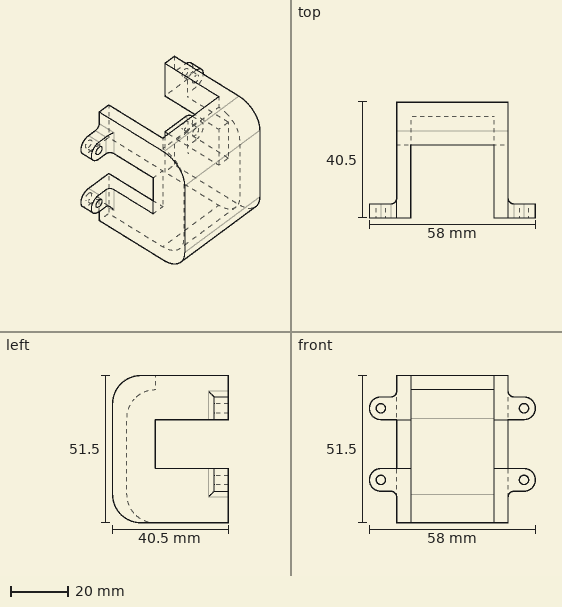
import cadquery as cq

overall_width = 58.0
depth = 40.5
height = 51.5

body_width = 39.0
wall = 5.0
bend_radius = 10.0
inner_width = body_width - 2 * wall
back_thickness = wall + bend_radius
mouth_depth = depth - back_thickness

slot_bottom = 19.0
slot_height = 17.0
slot_top = slot_bottom + slot_height

ear_radius = 4.0
ear_thickness = 5.0
ear_root_fillet = 2.0
ear_hole_diameter = 3.2
ear_hole_x = overall_width / 2 - ear_radius


def make_body():
    """Solid block with its two rear horizontal edges rounded."""
    block = cq.Workplane("XY").box(body_width, depth, height, centered=(True, False, False))
    return block.edges("|X and >Y").fillet(bend_radius)


def make_cavity():
    """Space between the side walls, open at the front, top and bottom."""
    mouth = cq.Workplane("XY").box(inner_width, mouth_depth, height, centered=(True, False, False))
    pocket = cq.Workplane("XY").box(
        inner_width, depth - wall, height - wall, centered=(True, False, False)
    )
    pocket = pocket.edges("|X and >Y").fillet(bend_radius)
    return mouth.union(pocket)


def make_slot():
    """Slot through both side walls, open at the front."""
    slot = cq.Workplane("XY").box(body_width, mouth_depth, slot_height, centered=(True, False, False))
    return slot.translate((0, 0, slot_bottom))


def make_ear():
    """Right-hand ear, flush below at z = 0, with its root flared above and behind."""
    ear_height = 2 * ear_radius
    wall_inside = inner_width / 2
    wall_outside = body_width / 2
    flare_end = wall_outside + ear_root_fillet
    bulge = ear_root_fillet * (1 - 0.5**0.5)
    flared_height = ear_height + ear_root_fillet
    flared_depth = ear_thickness + ear_root_fillet

    outline = (
        cq.Workplane("XZ")
        .moveTo(wall_inside, 0)
        .lineTo(ear_hole_x, 0)
        .threePointArc((overall_width / 2, ear_radius), (ear_hole_x, ear_height))
        .lineTo(flare_end, ear_height)
        .threePointArc((wall_outside + bulge, ear_height + bulge), (wall_outside, flared_height))
        .lineTo(wall_inside, flared_height)
        .close()
        .extrude(-flared_depth)
    )
    thickness = (
        cq.Workplane("XY")
        .moveTo(wall_inside, 0)
        .lineTo(overall_width / 2, 0)
        .lineTo(overall_width / 2, ear_thickness)
        .lineTo(flare_end, ear_thickness)
        .threePointArc((wall_outside + bulge, ear_thickness + bulge), (wall_outside, flared_depth))
        .lineTo(wall_inside, flared_depth)
        .close()
        .extrude(flared_height)
    )
    hole = (
        cq.Workplane("XZ")
        .center(ear_hole_x, ear_radius)
        .circle(ear_hole_diameter / 2)
        .extrude(-ear_thickness)
    )
    return outline.intersect(thickness).cut(hole)


result = make_body().cut(make_cavity()).cut(make_slot())

upper_ear = make_ear().translate((0, 0, slot_top))
lower_ear = make_ear().mirror("XY").translate((0, 0, slot_bottom))
for ear in (upper_ear, lower_ear):
    result = result.union(ear).union(ear.mirror("YZ"))